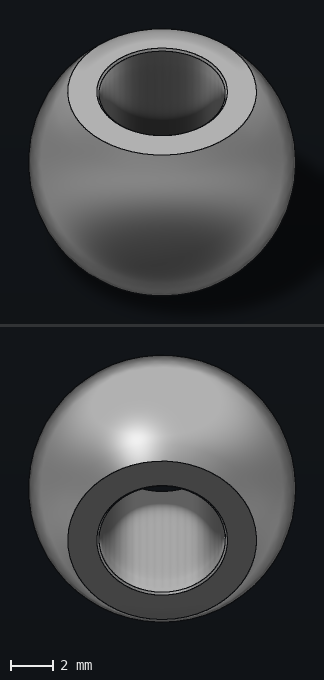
import cadquery as cq

ball_diameter = 12.7
height = 9.0
bore_diameter = 6.0
bore_chamfer = 0.1


def make_truncated_ball():
    """Sphere centred on the origin, cut to two flat ends."""
    ball = cq.Workplane("XY").sphere(ball_diameter / 2)
    slab = cq.Workplane("XY").box(ball_diameter * 2, ball_diameter * 2, height)
    return ball.intersect(slab)


def make_bore():
    """Through bore that widens to a small chamfer at each end."""
    bore_radius = bore_diameter / 2
    mouth_radius = bore_radius + bore_chamfer
    half_height = height / 2
    straight_half_height = half_height - bore_chamfer
    return (
        cq.Workplane("XZ")
        .moveTo(0, -half_height)
        .lineTo(mouth_radius, -half_height)
        .lineTo(bore_radius, -straight_half_height)
        .lineTo(bore_radius, straight_half_height)
        .lineTo(mouth_radius, half_height)
        .lineTo(0, half_height)
        .close()
        .revolve(360, (0, 0, 0), (0, 1, 0))
    )


result = make_truncated_ball().cut(make_bore())